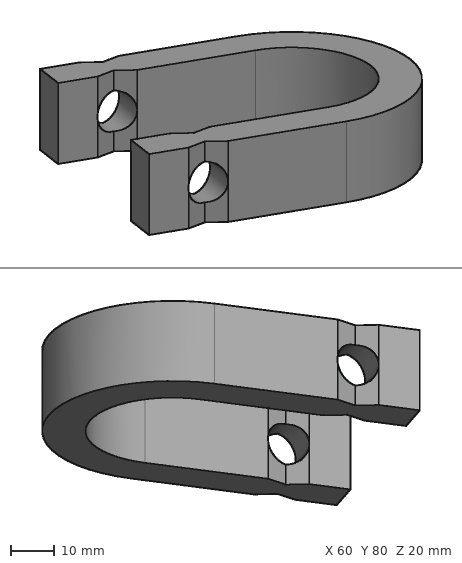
import cadquery as cq

length = 80.0
width = 60.0
height = 20.0
bar_thickness = 10.0
hole_diameter = 10.0
notch_start = 10.0
notch_length = 10.0
notch_depth = 2.0

outer_radius = width / 2
inner_radius = outer_radius - bar_thickness
leg_length = length - outer_radius
notch_end = notch_start + notch_length
notch_middle = notch_start + notch_length / 2


def u_body():
    """U-shaped bar with the leg ends at Y = 0 and the bend toward +Y."""
    return (
        cq.Workplane("XY")
        .moveTo(-outer_radius, 0)
        .lineTo(-outer_radius, leg_length)
        .threePointArc((0, length), (outer_radius, leg_length))
        .lineTo(outer_radius, 0)
        .lineTo(inner_radius, 0)
        .lineTo(inner_radius, leg_length)
        .threePointArc((0, leg_length + inner_radius), (-inner_radius, leg_length))
        .lineTo(-inner_radius, 0)
        .close()
        .extrude(height)
    )


def v_notch(face_x, inward):
    """V groove over the full height of a leg face; inward is the X direction into the leg."""
    return (
        cq.Workplane("XY")
        .polyline([
            (face_x, notch_start),
            (face_x + inward * notch_depth, notch_middle),
            (face_x, notch_end),
        ])
        .close()
        .extrude(height)
    )


def cross_hole():
    """Round hole along X through both legs, centred on the notches."""
    return (
        cq.Workplane("YZ", origin=(-outer_radius, 0, 0))
        .center(notch_middle, height / 2)
        .circle(hole_diameter / 2)
        .extrude(width)
    )


result = u_body()
for side in (-1, 1):
    result = result.cut(v_notch(side * outer_radius, -side))
    result = result.cut(v_notch(side * inner_radius, side))
result = result.cut(cross_hole())